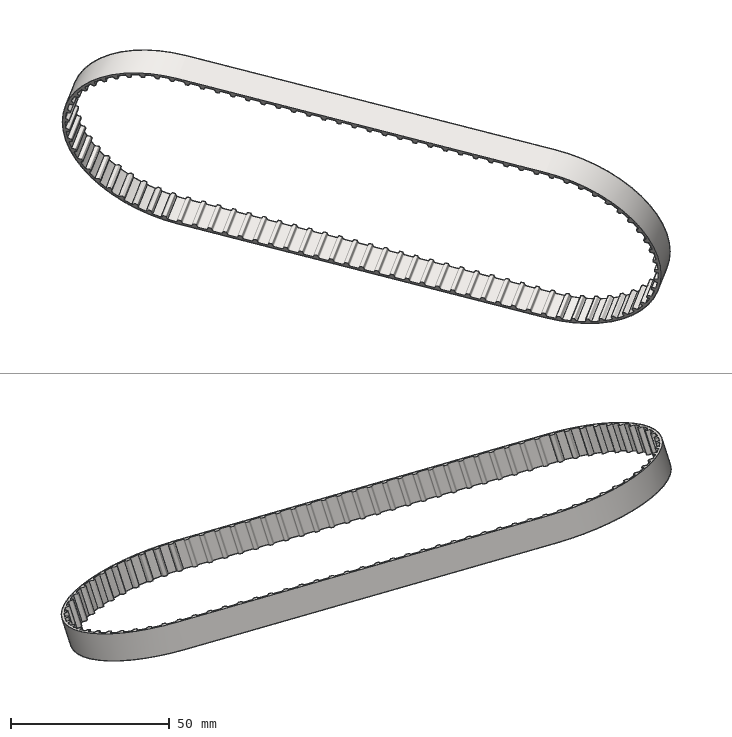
import cadquery as cq
import math

length = 197.8
height = 76.2
width = 9.5
web_thickness = 1.0

tooth_count = 95
tooth_height = 1.2
tooth_root_width = 2.0
tooth_tip_width = 1.0
tip_radius = 0.2
root_fillet = 0.4
root_overlap = 0.4

straight = length - height
root_radius = height / 2 - web_thickness
half_turn = math.pi * root_radius
pitch = 2 * (straight + half_turn) / tooth_count


def slot_prism(slot_length, slot_height):
    """Stadium-shaped prism lying along X, centred on the origin."""
    return cq.Workplane("XZ").slot2D(slot_length, slot_height).extrude(width / 2, both=True)


def belt_web():
    inner_length = length - 2 * web_thickness
    inner_height = height - 2 * web_thickness
    return slot_prism(length, height).cut(slot_prism(inner_length, inner_height))


def upright_tooth():
    """One tooth pointing along +Z, with the middle of its root at the origin.

    A foot as wide as the root fillets lies below the root and sinks into the web.
    """
    half_root = tooth_root_width / 2
    half_tip = tooth_tip_width / 2
    half_foot = half_root + root_fillet
    profile = [
        (-half_foot, -root_overlap),
        (-half_foot, 0),
        (-half_root, 0),
        (-half_tip, tooth_height),
        (half_tip, tooth_height),
        (half_root, 0),
        (half_foot, 0),
        (half_foot, -root_overlap),
    ]
    body = cq.Workplane("XZ").polyline(profile).close().extrude(width / 2, both=True)
    box_x = half_root + root_fillet / 2
    box_z = root_overlap / 2
    root_corners = cq.selectors.BoxSelector((-box_x, -width, -box_z), (box_x, width, box_z))
    filleted = body.edges("|Y").edges(root_corners).fillet(root_fillet)
    return filleted.faces(">Z").edges("|Y").fillet(tip_radius)


def root_station(distance):
    """Root centre (x, z) and tooth lean in radians at a distance along the root path.

    The path starts at the middle of the lower straight and runs towards +X.
    The lean is the turn of the tooth from +Z towards -X.
    """
    half_straight = straight / 2
    if distance <= half_straight:
        return distance, -root_radius, 0
    distance -= half_straight
    if distance <= half_turn:
        lean = distance / root_radius
        x = half_straight + root_radius * math.sin(lean)
        return x, -root_radius * math.cos(lean), lean
    distance -= half_turn
    return half_straight - distance, root_radius, math.pi


def belt_teeth():
    """One tooth at the middle of the lower straight, the rest in mirrored pairs."""
    template = upright_tooth()
    teeth = []
    for index in range(tooth_count // 2 + 1):
        x, z, lean = root_station(index * pitch)
        tooth = template.rotate((0, 0, 0), (0, 1, 0), -math.degrees(lean)).translate((x, 0, z))
        teeth.append(tooth.val())
        if index > 0:
            teeth.append(tooth.mirror("YZ").val())
    return teeth


result = cq.Workplane(belt_web().val().fuse(*belt_teeth()).clean())